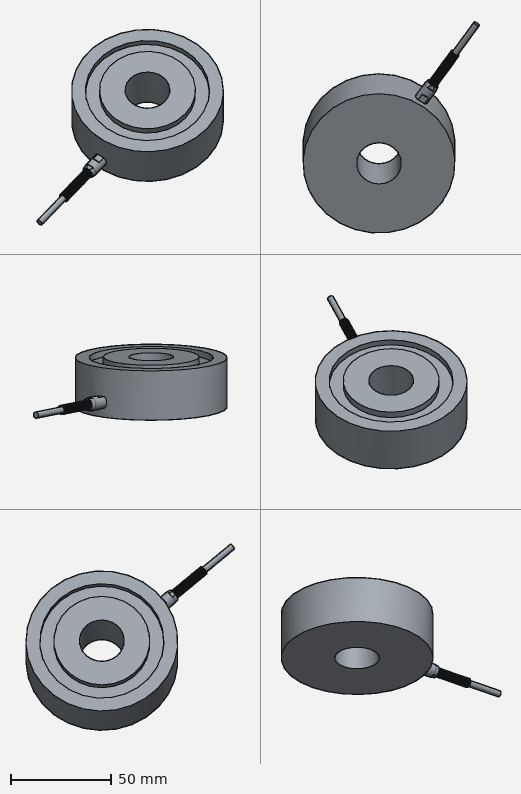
import cadquery as cq
import math

body_diameter = 75.7
body_height = 25.0
bore_diameter = 22.3

recess_diameter = 61.8
recess_depth = 3.3
hub_diameter = 47.8
hub_rise = 0.4

total_length = 125.2
outlet_height = 7.6

fitting_diameter = 7.0
fitting_length = 8.1
fitting_flat_width = 5.9
fitting_flat_length = 3.8
fitting_embed = 3.8

collar_end_diameter = 6.3
collar_length = 2.3
collar_flat_width = 6.1

sleeve_diameter = 4.8
sleeve_wire_diameter = 0.44
sleeve_coil_count = 47
sleeve_length = 20.3
sleeve_embed = 0.3

cable_diameter = 3.3

body_front = -body_diameter / 2
flat_end = body_front - fitting_flat_length
fitting_end = body_front - fitting_length
collar_end = fitting_end - collar_length
sleeve_start = collar_end + sleeve_embed
sleeve_end = sleeve_start - sleeve_length
cable_end = body_diameter / 2 - total_length


def make_body():
    rim = cq.Workplane("XY").circle(body_diameter / 2).extrude(body_height)
    recess_floor = cq.Workplane("XY").workplane(offset=body_height - recess_depth)
    recess = recess_floor.circle(recess_diameter / 2).extrude(recess_depth)
    hub = cq.Workplane("XY").circle(hub_diameter / 2).extrude(body_height + hub_rise)
    bore = cq.Workplane("XY").circle(bore_diameter / 2).extrude(body_height + hub_rise)
    return rim.cut(recess).union(hub).cut(bore)


def round_section(y_start):
    """Start a sketch across the outlet axis; extruding it goes outward along -Y."""
    plane = cq.Plane(origin=(0, y_start, outlet_height), xDir=(1, 0, 0), normal=(0, -1, 0))
    return cq.Workplane(plane)


def flatten(part, flat_width, y_start, y_stop):
    """Trim the top and bottom of a round part to parallel flats between two Y places."""
    length = y_start - y_stop
    envelope = round_section(y_start).rect(fitting_diameter, fitting_diameter).extrude(length)
    kept = round_section(y_start).rect(fitting_diameter, flat_width).extrude(length)
    return part.cut(envelope.cut(kept))


def make_fitting():
    root = body_front + fitting_embed
    fitting = round_section(root).circle(fitting_diameter / 2).extrude(root - fitting_end)
    return flatten(fitting, fitting_flat_width, root, flat_end)


def make_collar():
    collar = (
        round_section(fitting_end)
        .circle(fitting_diameter / 2)
        .workplane(offset=collar_length)
        .circle(collar_end_diameter / 2)
        .loft()
    )
    return flatten(collar, collar_flat_width, fitting_end, collar_end)


def make_sleeve():
    """Stack of wire rings around the cable, each overlapping the next a little so they form one solid."""
    wire_radius = sleeve_wire_diameter / 2
    ring_radius = sleeve_diameter / 2 - wire_radius
    outer_radius = ring_radius + wire_radius
    inner_radius = ring_radius - wire_radius
    pitch = (sleeve_length - sleeve_wire_diameter) / (sleeve_coil_count - 1)
    neck = math.sqrt(wire_radius**2 - (pitch / 2) ** 2)
    centers = [sleeve_start - wire_radius - i * pitch for i in range(sleeve_coil_count)]

    profile = cq.Workplane("XY").moveTo(ring_radius, sleeve_start)
    for center in centers[:-1]:
        profile = profile.threePointArc((outer_radius, center), (ring_radius + neck, center - pitch / 2))
    profile = profile.threePointArc((outer_radius, centers[-1]), (ring_radius, sleeve_end))
    for center in reversed(centers[1:]):
        profile = profile.threePointArc((inner_radius, center), (ring_radius - neck, center + pitch / 2))
    profile = profile.threePointArc((inner_radius, centers[0]), (ring_radius, sleeve_start))
    return profile.close().revolve(360, (0, 0, 0), (0, 1, 0)).translate((0, 0, outlet_height))


def make_cable():
    return round_section(collar_end).circle(cable_diameter / 2).extrude(collar_end - cable_end)


result = make_body().union(make_fitting()).union(make_collar()).union(make_sleeve()).union(make_cable())